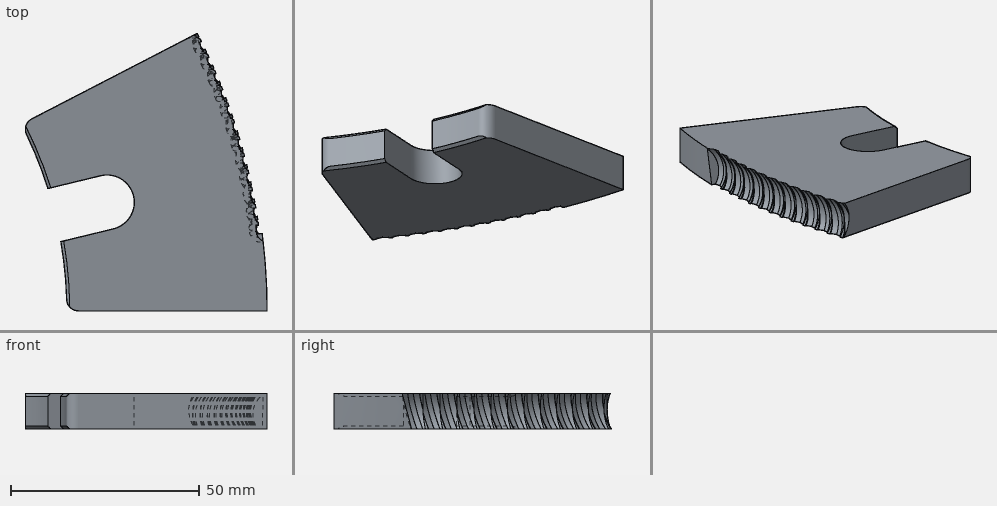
import cadquery as cq
import math

thickness = 9.5
inner_radius = 108.05
outer_radius = 161.3
sector_angle = 27.33
corner_radius = 3.2
inner_chamfer = 0.8

slot_radius = 7.2
slot_center_radius = 122.2

worm_axis_radius = 165.3
throat_radius = 6.65
groove_radius = 7.3
groove_floor_width = 1.5
groove_tilt = 15.0
tooth_pitch = 1.664
first_groove_angle = 7.75

mid_height = thickness / 2
groove_count = math.ceil((sector_angle - first_groove_angle) / tooth_pitch) + 1


def polar(radius, angle):
    """Point at a radius and an angle in degrees around the apex."""
    turn = math.radians(angle)
    return radius * math.cos(turn), radius * math.sin(turn)


def sector_plate():
    half_angle = sector_angle / 2
    plate = (
        cq.Workplane("XY")
        .moveTo(*polar(inner_radius, 0))
        .lineTo(*polar(outer_radius, 0))
        .threePointArc(polar(outer_radius, half_angle), polar(outer_radius, sector_angle))
        .lineTo(*polar(inner_radius, sector_angle))
        .threePointArc(polar(inner_radius, half_angle), polar(inner_radius, 0))
        .close()
        .extrude(thickness)
    )
    inner_corners = cq.selectors.BoxSelector(
        (0, -0.75, -0.75), (inner_radius + 0.75, outer_radius, thickness + 0.75)
    )
    return plate.edges("|Z").edges(inner_corners).fillet(corner_radius)


def inner_chamfer_cutter():
    """Ring that bevels the top and bottom edges of the inner arc."""
    ring_inside = inner_radius - corner_radius
    bevel_radius = inner_radius + inner_chamfer
    ring = (
        cq.Workplane("XZ")
        .polyline([
            (ring_inside, 0),
            (bevel_radius, 0),
            (inner_radius, inner_chamfer),
            (ring_inside, inner_chamfer),
        ])
        .close()
        .revolve(360, (0, 0, 0), (0, 1, 0))
    )
    return ring.union(ring.mirror("XY").translate((0, 0, thickness)))


def slot_cutter():
    round_end = (
        cq.Workplane("XY").center(slot_center_radius, 0).circle(slot_radius).extrude(thickness)
    )
    channel = cq.Workplane("XY").box(
        slot_center_radius, 2 * slot_radius, thickness, centered=(False, True, False)
    )
    return round_end.union(channel).rotate((0, 0, 0), (0, 0, 1), sector_angle / 2)


def throat_cutter():
    """Hollow along the rim, from the first groove to past the far side."""
    cut_angle = sector_angle - first_groove_angle + tooth_pitch
    throat = (
        cq.Workplane("XZ")
        .center(worm_axis_radius, mid_height)
        .circle(throat_radius)
        .revolve(cut_angle, (-worm_axis_radius, 0, 0), (-worm_axis_radius, 1, 0))
    )
    return throat.rotate((0, 0, 0), (0, 0, 1), first_groove_angle)


def groove_cutter():
    """Tilted disc with a tapered rim, placed on the X axis."""
    crest_half_width = (worm_axis_radius - throat_radius) * math.radians(tooth_pitch) / 2
    floor_half_width = groove_floor_width / 2
    disc = (
        cq.Workplane("XY")
        .polyline([
            (0, -crest_half_width),
            (throat_radius, -crest_half_width),
            (groove_radius, -floor_half_width),
            (groove_radius, floor_half_width),
            (throat_radius, crest_half_width),
            (0, crest_half_width),
        ])
        .close()
        .revolve(360, (0, 0, 0), (0, 1, 0))
    )
    tilted = disc.rotate((0, 0, 0), (1, 0, 0), groove_tilt)
    return tilted.translate((worm_axis_radius, 0, mid_height))


result = sector_plate().cut(inner_chamfer_cutter()).cut(slot_cutter()).cut(throat_cutter())
groove = groove_cutter()
for index in range(groove_count):
    groove_angle = first_groove_angle + index * tooth_pitch
    result = result.cut(groove.rotate((0, 0, 0), (0, 0, 1), groove_angle))